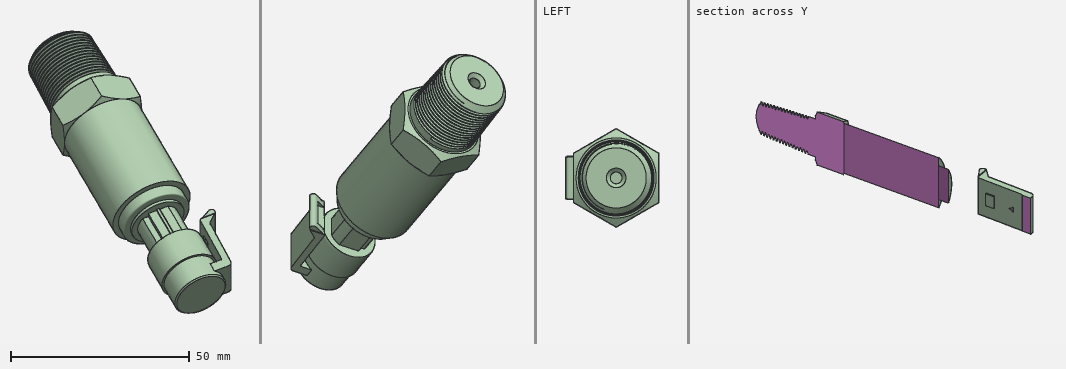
import cadquery as cq
import math

tip_x = 0.0
groove_start_x = 0.95
groove_end_x = 18.15
thread_end_x = 18.8
hex_start_x = 20.0
hex_end_x = 29.7
housing_end_x = 61.6
cap_end_x = 65.0
collar_end_x = 65.9
plug_start_x = 76.7
band_start_x = 84.5
sleeve_end_x = 86.65
plug_end_x = 94.28

tip_diameter = 16.9
neck_diameter = 21.34
thread_taper = math.atan(1 / 32)
thread_pitch = 1.07
thread_depth = 0.65
groove_half_width = 0.39
groove_flank_slope = groove_half_width / thread_depth
groove_overshoot = 0.1
hex_sides = 6
hex_flats = 24.0
hex_front_diameter = 22.5
hex_chamfer_angle = math.radians(30)
port_diameter = 3.3
port_mouth_diameter = 5.5
port_depth = 12.0

housing_diameter = 24.0
cap_diameter = 20.5
cap_rounding = 0.4

collar_diameter = 16.2
stem_diameter = 12.62
stem_flat_z = 5.5
stem_flat_y = 5.55
rebate_z = 4.12
rebate_y = -3.0
ridge_top_diameter = 12.0
ridge_width = 0.9

sleeve_front_diameter = 16.6
sleeve_diameter = 16.9
sleeve_band_diameter = 17.05
sleeve_lead_in = 0.7
tail_diameter = 15.8
tail_chamfer = 0.4

thumb_radius = 1.0
thumb_top_y = 14.21
thumb_x = 73.25
thumb_y = thumb_top_y - thumb_radius
arm_heel_x = 74.45
arm_heel_y = 9.0
arm_knee_x = 76.6
arm_knee_y = 11.05
arm_root_bottom_y = 8.65
arm_root_top_y = 10.6
leg_inner_x = 89.65
leg_outer_x = 92.5
leg_end_y = 5.0
leg_outer_rounding = 1.3
leg_inner_rounding = 0.3
latch_width = 12.2
thumb_width = 11.7
thumb_width_end_x = 74.1
thumb_pocket_width = 7.9
thumb_pocket_roof_y = 12.0
pad_start_x = 77.3
pad_end_x = 80.1
pad_bottom_y = 8.5
pad_top_y = 10.0
pad_width = 4.0


def turned(profile):
    """Revolve a closed list of (x, radius) points about the X axis."""
    return cq.Workplane("XY").polyline(profile).close().revolve(360, (0, 0, 0), (1, 0, 0))


def rod(diameter, start_x, end_x):
    """Round bar along X."""
    return cq.Workplane("YZ", origin=(start_x, 0, 0)).circle(diameter / 2).extrude(end_x - start_x)


def block(x_range, y_range, z_range):
    """Box given by its limits along each axis."""
    size = [high - low for low, high in (x_range, y_range, z_range)]
    corner = (x_range[0], y_range[0], z_range[0])
    return cq.Workplane("XY").box(*size, centered=False).translate(corner)


def crest_radius(x):
    """Radius over the thread crests, growing toward the hexagon."""
    return neck_diameter / 2 - (thread_end_x - x) * math.tan(thread_taper)


def thread_groove():
    """Right-handed V groove wound on the taper, starting within the tip bevel."""
    start_radius = crest_radius(groove_start_x)
    path = cq.Wire.makeHelix(
        thread_pitch,
        groove_end_x - groove_start_x,
        start_radius,
        angle=math.degrees(thread_taper),
    )
    mouth = groove_half_width + groove_overshoot * groove_flank_slope
    groove = (
        cq.Workplane("XZ")
        .polyline(
            [
                (start_radius - thread_depth, 0),
                (start_radius + groove_overshoot, mouth),
                (start_radius + groove_overshoot, -mouth),
            ]
        )
        .close()
        .sweep(cq.Workplane(path), isFrenet=True)
    )
    return groove.rotate((0, 0, 0), (0, 1, 0), 90).translate((groove_start_x, 0, 0))


def hexagon():
    """Hexagon with a corner up, both ends bevelled by a cone."""
    half_sector = 180 / hex_sides
    corner_radius = hex_flats / 2 / math.cos(math.radians(half_sector))
    bevel = math.tan(hex_chamfer_angle)
    front_bevel = (corner_radius - hex_front_diameter / 2) * bevel
    back_bevel = (corner_radius - housing_diameter / 2) * bevel
    envelope = turned(
        [
            (hex_start_x, 0),
            (hex_start_x, hex_front_diameter / 2),
            (hex_start_x + front_bevel, corner_radius),
            (hex_end_x - back_bevel, corner_radius),
            (hex_end_x, housing_diameter / 2),
            (hex_end_x, 0),
        ]
    )
    prism = (
        cq.Workplane("YZ", origin=(hex_start_x, 0, 0))
        .polygon(hex_sides, 2 * corner_radius)
        .extrude(hex_end_x - hex_start_x)
        .rotate((0, 0, 0), (1, 0, 0), half_sector)
    )
    return prism.intersect(envelope)


def make_fitting():
    """Threaded shank and hexagon with a countersunk pressure port in the tip."""
    tip_radius = tip_diameter / 2
    tip_bevel = (crest_radius(tip_x) - tip_radius) / (1 - math.tan(thread_taper))
    shank = turned(
        [
            (tip_x, 0),
            (tip_x, tip_radius),
            (tip_x + tip_bevel, tip_radius + tip_bevel),
            (thread_end_x, neck_diameter / 2),
            (hex_start_x, neck_diameter / 2),
            (hex_start_x, 0),
        ]
    )
    port_radius = port_diameter / 2
    mouth_radius = port_mouth_diameter / 2
    port = turned(
        [
            (tip_x, 0),
            (tip_x, mouth_radius),
            (tip_x + mouth_radius - port_radius, port_radius),
            (tip_x + port_depth, port_radius),
            (tip_x + port_depth, 0),
        ]
    )
    return shank.cut(thread_groove()).union(hexagon()).cut(port)


def make_housing():
    """Plain cylindrical housing behind the hexagon."""
    return rod(housing_diameter, hex_end_x, housing_end_x)


def make_cap():
    """End disc with a rounded rear edge."""
    return rod(cap_diameter, housing_end_x, cap_end_x).faces(">X").edges().fillet(cap_rounding)


def make_header():
    """Collar and stem; the stem has three flats, two rebates and a key ridge."""
    radius = stem_diameter / 2
    x_range = (collar_end_x, plug_start_x)
    flats = block(x_range, (-radius, stem_flat_y), (-stem_flat_z, stem_flat_z))
    stem = rod(stem_diameter, *x_range).intersect(flats)
    for z_range in ((rebate_z, radius), (-radius, -rebate_z)):
        stem = stem.cut(block(x_range, (-radius, rebate_y), z_range))
    ridge_slab = block(x_range, (-ridge_width / 2, ridge_width / 2), (0, radius))
    ridge = rod(ridge_top_diameter, *x_range).intersect(ridge_slab)
    return rod(collar_diameter, cap_end_x, collar_end_x).union(stem).union(ridge)


def thumb_tangent(point_x, point_y, side):
    """Point where a line from the given point touches the rounded thumb end."""
    dx = point_x - thumb_x
    dy = point_y - thumb_y
    angle = math.atan2(dy, dx) + side * math.acos(thumb_radius / math.hypot(dx, dy))
    return (thumb_x + thumb_radius * math.cos(angle), thumb_y + thumb_radius * math.sin(angle))


def make_latch():
    """Spring arm with a rounded thumb end, a root leg and a locking pad underneath."""
    thumb_top = (thumb_x, thumb_top_y)
    outline = (
        cq.Workplane("XY")
        .moveTo(arm_heel_x, arm_heel_y)
        .lineTo(*thumb_tangent(arm_heel_x, arm_heel_y, -1))
        .threePointArc(thumb_top, thumb_tangent(arm_knee_x, arm_knee_y, 1))
        .lineTo(arm_knee_x, arm_knee_y)
        .lineTo(leg_outer_x, arm_root_top_y)
        .lineTo(leg_outer_x, leg_end_y)
        .lineTo(leg_inner_x, leg_end_y)
        .lineTo(leg_inner_x, arm_root_bottom_y)
        .close()
    )
    latch = outline.extrude(latch_width / 2, both=True)
    outer_corner = cq.selectors.NearestToPointSelector((leg_outer_x, arm_root_top_y, 0))
    inner_corner = cq.selectors.NearestToPointSelector((leg_inner_x, arm_root_bottom_y, 0))
    latch = latch.edges("|Z").edges(outer_corner).fillet(leg_outer_rounding)
    latch = latch.edges("|Z").edges(inner_corner).fillet(leg_inner_rounding)

    thumb_x_range = (thumb_x - 2 * thumb_radius, thumb_width_end_x)
    thumb_y_range = (arm_heel_y, thumb_y + 2 * thumb_radius)
    for z_range in ((thumb_width / 2, latch_width), (-latch_width, -thumb_width / 2)):
        latch = latch.cut(block(thumb_x_range, thumb_y_range, z_range))

    half_pocket = thumb_pocket_width / 2
    pocket = block(
        (thumb_x - 2 * thumb_radius, arm_heel_x),
        (arm_heel_y, thumb_pocket_roof_y),
        (-half_pocket, half_pocket),
    )
    pad = block(
        (pad_start_x, pad_end_x),
        (pad_bottom_y, pad_top_y),
        (-pad_width / 2, pad_width / 2),
    )
    return latch.cut(pocket).union(pad)


def make_plug():
    """Stepped sleeve and tail carrying the latch."""
    tail_radius = tail_diameter / 2
    barrel = turned(
        [
            (plug_start_x, 0),
            (plug_start_x, sleeve_front_diameter / 2),
            (plug_start_x + sleeve_lead_in, sleeve_diameter / 2),
            (band_start_x, sleeve_diameter / 2),
            (sleeve_end_x, sleeve_band_diameter / 2),
            (sleeve_end_x, tail_radius),
            (plug_end_x - tail_chamfer, tail_radius),
            (plug_end_x, tail_radius - tail_chamfer),
            (plug_end_x, 0),
        ]
    )
    return barrel.union(make_latch())


bodies = {
    "fitting": make_fitting(),
    "housing": make_housing(),
    "cap": make_cap(),
    "header": make_header(),
    "plug": make_plug(),
}

result = cq.Compound.makeCompound([body.solids().val() for body in bodies.values()])